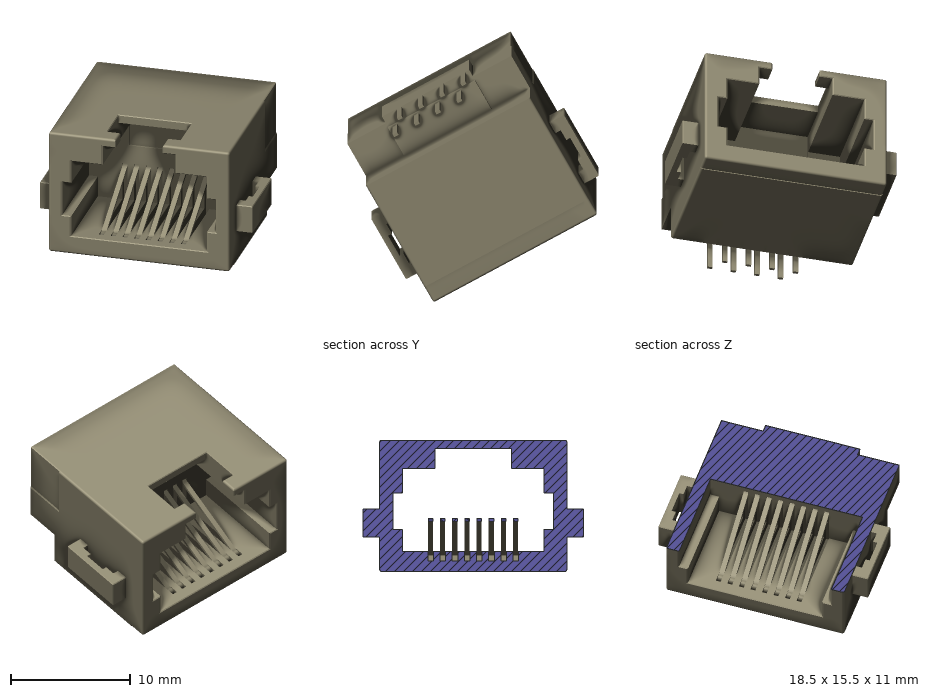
import cadquery as cq
import math

body_width = 15.68
body_height = 11.0
body_length = 14.8
edge_radius = 0.2
front_foot_length = 1.59
front_foot_rise = 0.07

rear_step_y = 11.62
rear_step_z = 3.17
rear_block_width = 8.34
rear_block_back = 15.45
rear_block_top = 6.42
pad_thickness = 0.25
pad_back = 14.45

side_relief_depth = 0.07
side_relief_front = 11.03
side_relief_bottom = 6.27
side_relief_slope = 0.13

cavity_depth = 8.35
cavity_width = 11.79
cavity_floor = 1.7
cavity_ceiling = 8.58
rail_width = 13.34
rail_bottom = 3.52
rail_top = 6.57
latch_width = 6.31
latch_ceiling = 10.28
latch_pocket_bottom = 6.7
latch_pocket_depth = 0.18
mouth_side = 0.13
mouth_height = 0.065
mouth_depth = 0.07

window_front = 1.51
window_back = 4.96
window_chamfer = 0.065
notch_width = 4.05
notch_mouth_side = 0.07

lug_span = 18.45
lug_front = 2.23
lug_back = 8.25
lug_bottom = 2.88
lug_top = 5.28
lug_chamfer = 0.065
lug_gap_span = 16.68
lug_gap_length = 3.95
lug_recess_span = 17.42
lug_recess_length = 2.03

contact_count = 8
contact_pitch = 1.01
contact_width = 0.42
contact_thickness = 0.25
contact_top = 5.02
contact_flat_z = 1.62
contact_slope_foot = 1.8
contact_bend_start = 1.68
contact_bend_radius = 0.31
pin_bottom = 0.31
inner_pin_back = 14.34
slot_front = 1.0
slot_bottom = 0.92
wall_slot_depth = 0.5
slot_back = cavity_depth + wall_slot_depth

contact_positions = [(i - (contact_count - 1) / 2) * contact_pitch for i in range(contact_count)]


def block(width, y_range, z_range, x_center=0.0):
    """Box of the given width in X between two Y and two Z values."""
    y0, y1 = y_range
    z0, z1 = z_range
    center = (x_center, (y0 + y1) / 2, (z0 + z1) / 2)
    return cq.Workplane("XY").box(width, y1 - y0, z1 - z0).translate(center)


def make_shell():
    """Outer block with rounded long edges and a rounded mating face."""
    foot = block(body_width, (0, front_foot_length), (front_foot_rise, body_height))
    foot = foot.edges("|Y or <Y").fillet(edge_radius)
    main = block(body_width, (front_foot_length, body_length), (0, body_height))
    main = main.edges("|Y").fillet(edge_radius)
    undercut = block(body_width, (rear_step_y, body_length), (0, rear_step_z))
    return foot.union(main).cut(undercut)


def make_rear_block():
    """Raised block on the back face and the thin pad under the rear overhang."""
    rear_block = block(rear_block_width, (rear_step_y, rear_block_back), (rear_step_z, rear_block_top))
    pad = block(rear_block_width, (rear_step_y, pad_back), (rear_step_z - pad_thickness, rear_step_z))
    return rear_block.union(pad)


def make_side_relief():
    """Cutter for the shallow relief on the +X side, sloped at its lower edge."""
    outer = body_width / 2
    inner = outer - side_relief_depth
    return (
        cq.Workplane("XZ", origin=(0, side_relief_front, 0))
        .moveTo(outer, side_relief_bottom)
        .lineTo(inner, side_relief_bottom + side_relief_slope)
        .lineTo(inner, body_height)
        .lineTo(outer, body_height)
        .close()
        .extrude(side_relief_front - body_length)
    )


def make_lugs():
    """Side lugs as one bar across the housing, with a stepped gap beside each wall."""
    middle = (lug_front + lug_back) / 2
    heights = (lug_bottom, lug_top)
    bar = block(lug_span, (lug_front, lug_back), heights)
    bar = bar.edges("|Z or >Z").chamfer(lug_chamfer)
    for span, length in ((lug_gap_span, lug_gap_length), (lug_recess_span, lug_recess_length)):
        bar = bar.cut(block(span, (middle - length / 2, middle + length / 2), heights))
    return bar


def make_cavity_band(width, bottom, top):
    """Cutter for one rectangular band of the plug cavity, flared at the mouth."""
    height = top - bottom
    middle = (top + bottom) / 2
    flare = (
        cq.Workplane("XZ", origin=(0, 0, middle))
        .rect(width + 2 * mouth_side, height + 2 * mouth_height)
        .workplane(offset=-mouth_depth)
        .rect(width, height)
        .loft()
    )
    return block(width, (0, cavity_depth), (bottom, top)).union(flare)


def make_cavity():
    """Cutter for the plug cavity, its latch channel and the pocket in the back wall."""
    cavity = make_cavity_band(cavity_width, cavity_floor, cavity_ceiling)
    cavity = cavity.union(make_cavity_band(rail_width, rail_bottom, rail_top))
    cavity = cavity.union(make_cavity_band(latch_width, rail_top, latch_ceiling))
    pocket_back = cavity_depth + latch_pocket_depth
    pocket = block(latch_width, (cavity_depth, pocket_back), (latch_pocket_bottom, latch_ceiling))
    return cavity.union(pocket)


def make_roof_window():
    """Cutter for the roof opening and the notch that joins it to the mating face."""
    window = block(latch_width, (window_front, window_back), (latch_ceiling, body_height))
    length = window_back - window_front
    flare = (
        cq.Workplane("XY", origin=(0, (window_front + window_back) / 2, body_height - window_chamfer))
        .rect(latch_width, length)
        .workplane(offset=window_chamfer)
        .rect(latch_width + 2 * window_chamfer, length + 2 * window_chamfer)
        .loft()
    )
    half = notch_width / 2
    shoulder = body_height - edge_radius
    notch = (
        cq.Workplane("XZ")
        .moveTo(-half, latch_ceiling)
        .lineTo(-half, shoulder)
        .radiusArc((-half - edge_radius, body_height), -edge_radius)
        .lineTo(half + edge_radius, body_height)
        .radiusArc((half, shoulder), -edge_radius)
        .lineTo(half, latch_ceiling)
        .close()
        .extrude(-window_front)
    )
    notch_mouth = (
        cq.Workplane("XY", origin=(0, 0, latch_ceiling))
        .moveTo(-half - notch_mouth_side, 0)
        .lineTo(half + notch_mouth_side, 0)
        .lineTo(half, mouth_depth)
        .lineTo(-half, mouth_depth)
        .close()
        .extrude(body_height - latch_ceiling)
    )
    return window.union(flare).union(notch).union(notch_mouth)


def make_contact(x, pin_back):
    """Bent strip: pin, riser, run through the back wall, sloped arm and hooked tip."""
    rise = contact_top - contact_flat_z
    slope_angle = math.atan2(rise, slot_back - contact_slope_foot)
    miter = contact_thickness * math.tan(slope_angle / 2)
    tip_front = contact_bend_start - contact_bend_radius
    bend_center_z = contact_flat_z - contact_bend_radius
    inner_radius = contact_bend_radius - contact_thickness
    pin_front = pin_back - contact_thickness
    run_bottom = contact_top - contact_thickness
    flat_bottom = contact_flat_z - contact_thickness
    return (
        cq.Workplane("YZ", origin=(x - contact_width / 2, 0, 0))
        .moveTo(pin_front, pin_bottom)
        .lineTo(pin_back, pin_bottom)
        .lineTo(pin_back, contact_top)
        .lineTo(slot_back, contact_top)
        .lineTo(contact_slope_foot, contact_flat_z)
        .lineTo(contact_bend_start, contact_flat_z)
        .radiusArc((tip_front, bend_center_z), -contact_bend_radius)
        .lineTo(tip_front, slot_bottom)
        .lineTo(tip_front + contact_thickness, slot_bottom)
        .lineTo(tip_front + contact_thickness, bend_center_z)
        .radiusArc((contact_bend_start, flat_bottom), inner_radius)
        .lineTo(contact_slope_foot + miter, flat_bottom)
        .lineTo(slot_back + miter, run_bottom)
        .lineTo(pin_front, run_bottom)
        .close()
        .extrude(contact_width)
    )


def make_contacts():
    """All contacts, their pins alternating between the two rows."""
    pin_rows = (rear_block_back, inner_pin_back)
    return [make_contact(x, pin_rows[i % 2]) for i, x in enumerate(contact_positions)]


def make_housing(contacts):
    """Housing with all openings, and a matching passage for every contact."""
    side_relief = make_side_relief()
    housing = make_shell().cut(side_relief).cut(side_relief.mirror("YZ"))
    housing = housing.union(make_rear_block())
    lugs = make_lugs()
    core = block(body_width, (lug_front, lug_back), (lug_bottom, lug_top))
    housing = housing.union(lugs.cut(core))
    housing = housing.cut(make_cavity()).cut(make_roof_window())
    for x, contact in zip(contact_positions, contacts):
        floor_slot = block(contact_width, (slot_front, slot_back), (slot_bottom, cavity_floor), x)
        wall_slot = block(contact_width, (cavity_depth, slot_back), (slot_bottom, contact_top), x)
        housing = housing.cut(floor_slot).cut(wall_slot).cut(contact)
    return housing


contacts = make_contacts()
housing = make_housing(contacts)

result = cq.Compound.makeCompound([housing.solids().val(), *[contact.val() for contact in contacts]])